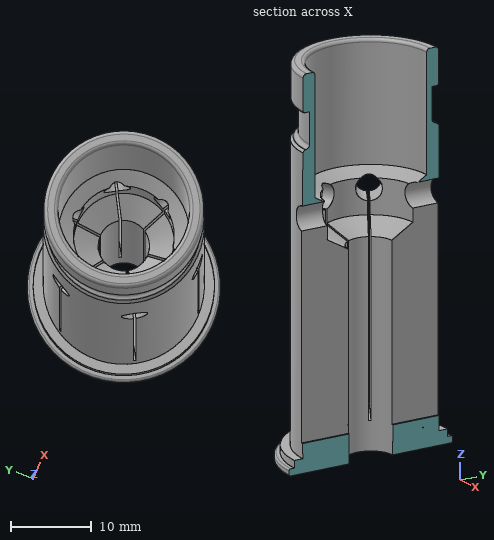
import cadquery as cq

total_height = 52.5
flange_height = 1.0
shoulder_height = 2.0
body_top = 42.55
collar_bottom = 47.35

flange_diameter = 24.0
shoulder_diameter = 22.5
body_diameter = 20.0
neck_diameter = 18.0
collar_diameter = 19.9

flange_fillet = 0.25
body_chamfer = 0.35
neck_fillet = 0.55
collar_top_fillet = 0.5
collar_bottom_fillet = 0.3

mouth_diameter = 16.3
mouth_fillet = 0.45
middle_diameter = 12.5
tool_diameter = 6.35
upper_cone_bottom = 34.85
upper_cone_height = 1.1
lower_cone_top = 30.0
lower_cone_height = 1.8

slot_count = 6
slot_width = 0.3
slot_bottom = 4.0
relief_hole_diameter = 3.3
relief_hole_height = 33.5
first_slot_angle = 30.0


def make_outside():
    """Turned outside shape, solid to the axis, with its edge breaks."""
    neck_radius = neck_diameter / 2
    body_radius = body_diameter / 2
    collar_radius = collar_diameter / 2
    shoulder_radius = shoulder_diameter / 2
    flange_radius = flange_diameter / 2
    profile = (
        cq.Workplane("XZ")
        .moveTo(0, 0)
        .lineTo(flange_radius - flange_fillet, 0)
        .radiusArc((flange_radius, flange_fillet), -flange_fillet)
        .lineTo(flange_radius, flange_height - flange_fillet)
        .radiusArc((flange_radius - flange_fillet, flange_height), -flange_fillet)
        .lineTo(shoulder_radius, flange_height)
        .lineTo(shoulder_radius, shoulder_height)
        .lineTo(body_radius, shoulder_height)
        .lineTo(body_radius, body_top - body_chamfer)
        .lineTo(body_radius - body_chamfer, body_top)
        .lineTo(neck_radius + neck_fillet, body_top)
        .radiusArc((neck_radius, body_top + neck_fillet), neck_fillet)
        .lineTo(neck_radius, collar_bottom)
        .lineTo(collar_radius - collar_bottom_fillet, collar_bottom)
        .radiusArc((collar_radius, collar_bottom + collar_bottom_fillet), -collar_bottom_fillet)
        .lineTo(collar_radius, total_height - collar_top_fillet)
        .radiusArc((collar_radius - collar_top_fillet, total_height), -collar_top_fillet)
        .lineTo(0, total_height)
        .close()
    )
    return profile.revolve(360, (0, 0), (0, 1))


def make_bore():
    """Bore that narrows through two cones to the tool diameter."""
    mouth_radius = mouth_diameter / 2
    middle_radius = middle_diameter / 2
    tool_radius = tool_diameter / 2
    profile = (
        cq.Workplane("XZ")
        .moveTo(0, 0)
        .lineTo(tool_radius, 0)
        .lineTo(tool_radius, lower_cone_top - lower_cone_height)
        .lineTo(middle_radius, lower_cone_top)
        .lineTo(middle_radius, upper_cone_bottom)
        .lineTo(mouth_radius, upper_cone_bottom + upper_cone_height)
        .lineTo(mouth_radius, total_height - mouth_fillet)
        .radiusArc((mouth_radius + mouth_fillet, total_height), mouth_fillet)
        .lineTo(0, total_height)
        .close()
    )
    return profile.revolve(360, (0, 0), (0, 1))


def make_slot(angle):
    """Radial slot from the axis outward, with its relief hole at the top."""
    reach = body_diameter
    slot_height = relief_hole_height - slot_bottom
    slot = (
        cq.Workplane("XY")
        .workplane(offset=slot_bottom)
        .center(reach / 2, 0)
        .rect(reach, slot_width)
        .extrude(slot_height)
    )
    relief_hole = (
        cq.Workplane("YZ")
        .center(0, relief_hole_height)
        .circle(relief_hole_diameter / 2)
        .extrude(reach)
    )
    return slot.union(relief_hole).rotate((0, 0, 0), (0, 0, 1), angle)


result = make_outside().cut(make_bore())
for index in range(slot_count):
    slot_angle = first_slot_angle + index * 360 / slot_count
    result = result.cut(make_slot(slot_angle))